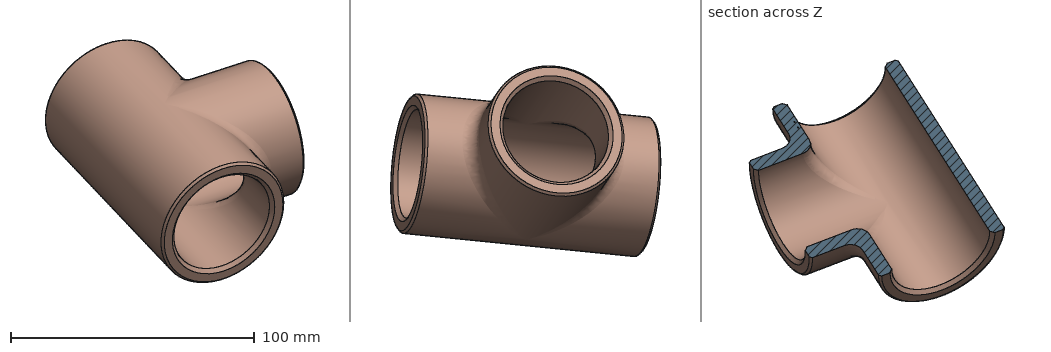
import cadquery as cq

run_length = 100.0
branch_length = 50.0
outer_diameter = 57.6
bore_diameter = 44.8
mouth_diameter = 48.0
rim_chamfer = 1.0
crotch_radius = 5.5

fade_gap = 0.3

mouth_chamfer = (mouth_diameter - bore_diameter) / 2

RUN_START = cq.Plane(origin=(-run_length / 2, 0, 0), xDir=(0, 1, 0), normal=(1, 0, 0))
BRANCH_START = cq.Plane(origin=(0, 0, 0), xDir=(1, 0, 0), normal=(0, 1, 0))


def cylinder(plane, diameter, length):
    return cq.Workplane(plane).circle(diameter / 2).extrude(length)


def rounded_tee(diameter):
    """Two equal crossing cylinders with both crotch edges rounded."""
    run = cylinder(RUN_START, diameter, run_length)
    branch = cylinder(BRANCH_START, diameter, branch_length)
    tee = run.union(branch)

    slab = cq.Workplane().box(2 * run_length, 2 * run_length, diameter - 2 * fade_gap)
    core = tee.intersect(slab)
    crotch_edges = core.edges("%ELLIPSE")
    return tee.union(crotch_edges.fillet(crotch_radius))


def end_rims(solid):
    return solid.faces("<X or >X or >Y").edges("%CIRCLE")


body = end_rims(rounded_tee(outer_diameter)).chamfer(rim_chamfer)
body = body.cut(rounded_tee(bore_diameter))

bore_rims = end_rims(body).edges(cq.selectors.RadiusNthSelector(0))
result = cq.Workplane(bore_rims.chamfer(mouth_chamfer).solids().val())